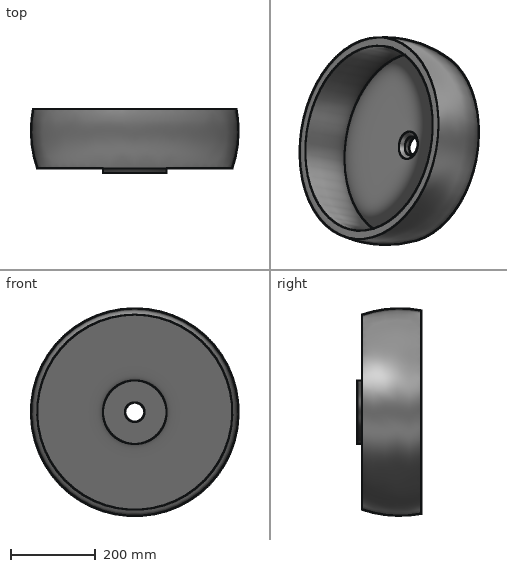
import cadquery as cq

rim_width = 140.0
front_diameter = 460.0
crown_diameter = 490.0
back_diameter = 480.0
crown_distance = 88.5
hub_diameter = 150.0
hub_height = 11.48
bore_diameter = 45.0
hub_length = 25.0
flare_size = 10.0
rim_thickness = 20.0

web_thickness = hub_length - hub_height
flare_start = web_thickness - flare_size
bore_radius = bore_diameter / 2
flare_radius = bore_radius + flare_size
cavity_radius = back_diameter / 2 - rim_thickness


def spin(profile):
    """Revolve a closed (Y, radius) profile about the Y axis."""
    return profile.close().revolve(360, (0, 0), (1, 0))


def make_body():
    """Solid wheel with a crowned tread."""
    return spin(
        cq.Workplane("YZ")
        .lineTo(0, front_diameter / 2)
        .threePointArc((crown_distance, crown_diameter / 2), (rim_width, back_diameter / 2))
        .lineTo(rim_width, 0)
    )


def make_hub():
    """Round boss on the front face."""
    return cq.Workplane("XZ").circle(hub_diameter / 2).extrude(hub_height)


def make_cavity():
    """Hollow behind the front web, open at the back."""
    return spin(
        cq.Workplane("YZ")
        .moveTo(web_thickness, 0)
        .lineTo(web_thickness, cavity_radius)
        .lineTo(rim_width, cavity_radius)
        .lineTo(rim_width, 0)
    )


def make_bore():
    """Through bore that flares out at the back of the web."""
    return spin(
        cq.Workplane("YZ")
        .moveTo(-hub_height, 0)
        .lineTo(-hub_height, bore_radius)
        .lineTo(flare_start, bore_radius)
        .lineTo(web_thickness, flare_radius)
        .lineTo(web_thickness, 0)
    )


result = make_body().union(make_hub()).cut(make_cavity()).cut(make_bore())